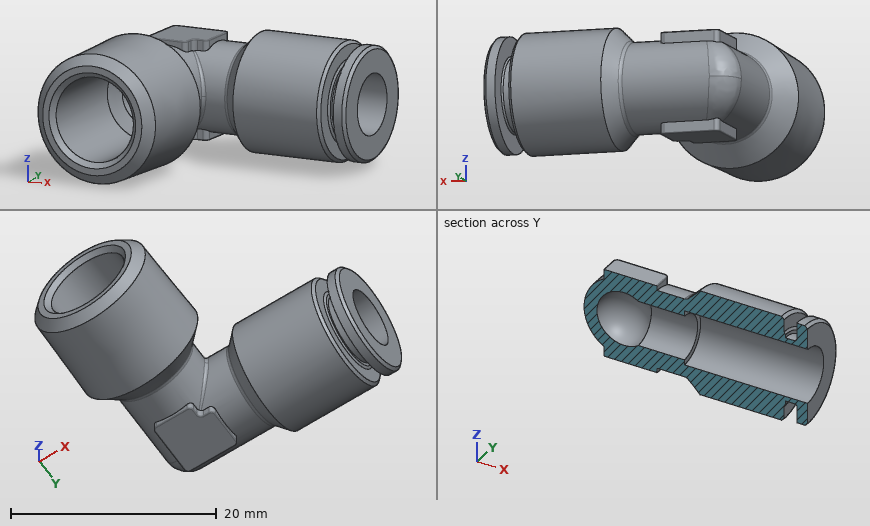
import cadquery as cq
import math


leg_radius = 9.0 / 2
elbow_length = 6.02
outer_bend_fillet = 2.46
inner_bend_fillet = 0.3
neck_fillet = 0.5

thread_end = 19.0
thread_big_radius = 6.68
thread_small_radius = 6.45
thread_cone_end = 9.2
thread_tip_radius = 5.45
thread_tip_length = 0.93

socket_radius = 12.0 / 2
socket_cone_end = 8.57
socket_end = 18.07
socket_chamfer = 0.3
lip_outer_radius = 4.3
lip_inner_radius = 4.0
lip_length = 0.15

collet_end = 20.7
collet_neck_radius = 7.3 / 2
collet_rim_radius = 11.5 / 2
collet_rim_thickness = 1.23
collet_rim_chamfer = 0.3
collet_root_chamfer = 0.16

passage_radius = 6.0 / 2
tube_bore_radius = 6.15 / 2
tube_bore_start = 6.85
tube_passage_radius = 5.0 / 2
mouth_radius = 8.5 / 2
mouth_chamfer = 0.52
shoulder_bottom = 7.12
shoulder_half_angle = 59
shoulder_length = (mouth_radius - passage_radius) / math.tan(math.radians(shoulder_half_angle))

pad_height = 5.0
pad_outer = 2.25
pad_inner = 3.78
pad_notch = 2.25
pad_corner_radius = 0.47
pad_edge_fillet = 0.08


def turned_x(profile):
    """Revolve (x, radius) points, closed along the axis, about X."""
    closed = [(profile[0][0], 0)] + profile + [(profile[-1][0], 0)]
    return cq.Workplane("XY").polyline(closed).close().revolve(360, (0, 0, 0), (1, 0, 0))


def turned_y(profile):
    """Revolve (distance along -Y, radius) points about the Y axis."""
    closed = [(0, -profile[0][0])] + [(r, -d) for d, r in profile] + [(0, -profile[-1][0])]
    return cq.Workplane("XY").polyline(closed).close().revolve(360, (0, 0, 0), (0, 1, 0))


def make_pads():
    """Square pad with its inside corner notched, standing out of both faces of the elbow."""
    corners = [
        (-pad_outer, pad_outer),
        (pad_inner, pad_outer),
        (pad_inner, -pad_notch),
        (pad_notch, -pad_notch),
        (pad_notch, -pad_inner),
        (-pad_outer, -pad_inner),
    ]
    return (
        cq.Workplane("XY")
        .polyline(corners)
        .close()
        .extrude(pad_height, both=True)
        .edges("|Z")
        .fillet(pad_corner_radius)
        .faces("|Z")
        .edges()
        .fillet(pad_edge_fillet)
    )


def make_elbow():
    """Two equal cylinders mitred on the diagonal plane, with pads on both faces and a rounded bend."""
    reach = 2 * leg_radius
    size = 2 * reach
    leg_length = reach + elbow_length
    tube_leg = cq.Workplane("YZ").workplane(offset=-reach).circle(leg_radius).extrude(leg_length)
    thread_leg = cq.Workplane("XZ").workplane(offset=-reach).circle(leg_radius).extrude(leg_length)
    tube_side = (
        cq.Workplane("XY")
        .polyline([(-size, size), (size, size), (size, -size)])
        .close()
        .extrude(reach, both=True)
    )
    elbow = tube_leg.intersect(tube_side).union(thread_leg.cut(tube_side)).union(make_pads())
    outside = cq.selectors.BoxSelector((-reach, 0, -reach), (0, reach, reach))
    inside = cq.selectors.BoxSelector((0, -reach, -reach), (reach, 0, reach))
    elbow = elbow.edges("%ELLIPSE").edges(outside).fillet(outer_bend_fillet)
    return elbow.edges("%ELLIPSE").edges(inside).fillet(inner_bend_fillet)


def fillet_neck(body, neck_center):
    """Round the concave edge where a leg meets its cone; the edge is a circle about neck_center."""
    x, y = neck_center
    near = 0.03
    around_neck = cq.selectors.BoxSelector((x - near, y - near, -near), (x + near, y + near, near))
    return body.edges("%CIRCLE").edges(around_neck).fillet(neck_fillet)


def make_thread_end():
    cone_start = thread_cone_end - (thread_big_radius - leg_radius)
    body = turned_y([
        (elbow_length, leg_radius),
        (cone_start, leg_radius),
        (thread_cone_end, thread_big_radius),
        (thread_end - thread_tip_length, thread_small_radius),
        (thread_end, thread_tip_radius),
    ])
    return fillet_neck(body, (0, -cone_start))


def make_tube_socket():
    cone_start = socket_cone_end - (socket_radius - leg_radius)
    body = turned_x([
        (elbow_length, leg_radius),
        (cone_start, leg_radius),
        (socket_cone_end, socket_radius),
        (socket_end - socket_chamfer, socket_radius),
        (socket_end, socket_radius - socket_chamfer),
        (socket_end, lip_outer_radius),
        (socket_end + lip_length, lip_inner_radius),
    ])
    return fillet_neck(body, (cone_start, 0))


def make_collet():
    rim_start = collet_end - collet_rim_thickness
    return turned_x([
        (socket_end, collet_neck_radius),
        (rim_start - collet_root_chamfer, collet_neck_radius),
        (rim_start, collet_neck_radius + collet_root_chamfer),
        (rim_start, collet_rim_radius),
        (collet_end - collet_rim_chamfer, collet_rim_radius),
        (collet_end, collet_rim_radius - collet_rim_chamfer),
    ])


def make_thread_bore():
    """Bore along the thread leg, with a conical shoulder and a hemispherical end centred on the bend."""
    return (
        cq.Workplane("XY")
        .moveTo(0, passage_radius)
        .threePointArc(
            (passage_radius * math.sqrt(0.5), passage_radius * math.sqrt(0.5)), (passage_radius, 0)
        )
        .lineTo(passage_radius, -shoulder_bottom)
        .lineTo(mouth_radius, -(shoulder_bottom + shoulder_length))
        .lineTo(mouth_radius, -(thread_end - mouth_chamfer))
        .lineTo(mouth_radius + mouth_chamfer, -thread_end)
        .lineTo(0, -thread_end)
        .close()
        .revolve(360, (0, 0, 0), (0, 1, 0))
    )


def make_tube_bore():
    """Narrow passage from the bend, opening to the tube bore that runs out through the collet."""
    return turned_x([
        (0, tube_passage_radius),
        (tube_bore_start, tube_passage_radius),
        (tube_bore_start, tube_bore_radius),
        (collet_end, tube_bore_radius),
    ])


result = (
    make_elbow()
    .union(make_thread_end())
    .union(make_tube_socket())
    .union(make_collet())
    .cut(make_thread_bore())
    .cut(make_tube_bore())
)